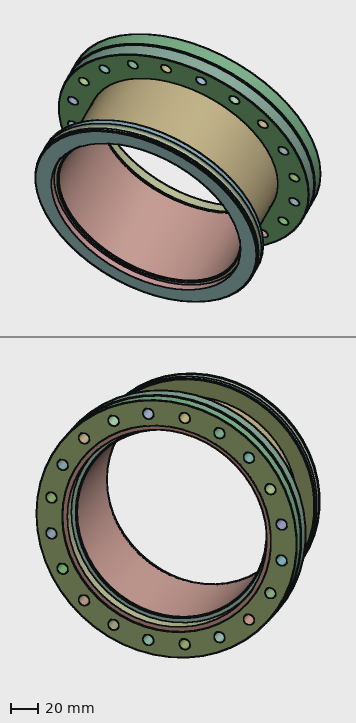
import cadquery as cq
total_length = 90.0

tube_outer_diameter = 152.5
tube_inner_diameter = 146.8

lip_diameter = 148.5
lip_length = 1.6

bolt_flange_diameter = 202.5
bolt_flange_thickness = 21.9
bolt_flange_bore = 155.0
tube_end_depth = 12.5
bolt_flange_chamfer = 0.5
rim_groove_width = 1.0
rim_groove_depth = 0.6
bolt_count = 20
bolt_hole_diameter = 8.3
bolt_circle_diameter = 181.0
seal_recess_diameter = 162.2
seal_recess_depth = 1.5

clamp_flange_diameter = 180.0
clamp_flange_thickness = 12.0
clamp_flange_chamfer = 0.8
recess_diameter = 153.0
recess_depth = 5.0
clamp_groove_start = 2.6
clamp_groove_width = 4.9
clamp_groove_floor_diameter = 175.0

bolt_flange_front = total_length - bolt_flange_thickness
bolt_flange_middle = total_length - bolt_flange_thickness / 2
tube_front = recess_depth + lip_length
tube_back = total_length - tube_end_depth


def cylinder(diameter, y_start, y_end):
    """Solid cylinder on the Y axis between two positions."""
    return (
        cq.Workplane("XZ", origin=(0, y_start, 0))
        .circle(diameter / 2)
        .extrude(y_start - y_end)
    )


def make_tube():
    outside = cylinder(tube_outer_diameter, tube_front, tube_back)
    return outside.cut(cylinder(tube_inner_diameter, tube_front, tube_back))


def make_rim_groove():
    """Ring that cuts the square groove around the bolted flange rim."""
    groove_start = bolt_flange_middle - rim_groove_width / 2
    groove_end = groove_start + rim_groove_width
    floor_diameter = bolt_flange_diameter - 2 * rim_groove_depth
    ring = cylinder(bolt_flange_diameter, groove_start, groove_end)
    return ring.cut(cylinder(floor_diameter, groove_start, groove_end))


def make_bolt_holes():
    half_pitch = 360 / bolt_count / 2
    return (
        cq.Workplane("XZ", origin=(0, bolt_flange_front, 0))
        .polarArray(bolt_circle_diameter / 2, half_pitch, 360, bolt_count)
        .circle(bolt_hole_diameter / 2)
        .extrude(-bolt_flange_thickness)
    )


def make_bolt_flange():
    disc = cylinder(bolt_flange_diameter, bolt_flange_front, total_length)
    disc = disc.edges().chamfer(bolt_flange_chamfer)
    bore = cylinder(bolt_flange_bore, tube_back + lip_length, total_length)
    lip_bore = cylinder(lip_diameter, bolt_flange_front, total_length)
    tube_socket = cylinder(tube_outer_diameter, bolt_flange_front, tube_back)
    seal_recess = cylinder(seal_recess_diameter, total_length - seal_recess_depth, total_length)
    disc = disc.cut(bore).cut(lip_bore).cut(tube_socket).cut(seal_recess)
    return disc.cut(make_rim_groove()).cut(make_bolt_holes())


def make_clamp_groove():
    """Ring that cuts the clamp groove: straight walls and a half-round floor."""
    rim_radius = clamp_flange_diameter / 2
    floor_radius = clamp_groove_floor_diameter / 2
    edge_radius = floor_radius + clamp_groove_width / 2
    groove_end = clamp_groove_start + clamp_groove_width
    groove_middle = clamp_groove_start + clamp_groove_width / 2
    return (
        cq.Workplane("XY")
        .moveTo(rim_radius, clamp_groove_start)
        .lineTo(edge_radius, clamp_groove_start)
        .threePointArc((floor_radius, groove_middle), (edge_radius, groove_end))
        .lineTo(rim_radius, groove_end)
        .close()
        .revolve(360, (0, 0, 0), (0, 1, 0))
    )


def make_clamp_flange():
    disc = cylinder(clamp_flange_diameter, 0, clamp_flange_thickness)
    disc = disc.edges().chamfer(clamp_flange_chamfer)
    recess = cylinder(recess_diameter, 0, recess_depth)
    lip_bore = cylinder(lip_diameter, 0, clamp_flange_thickness)
    tube_socket = cylinder(tube_outer_diameter, tube_front, clamp_flange_thickness)
    return disc.cut(recess).cut(lip_bore).cut(tube_socket).cut(make_clamp_groove())


tube = make_tube()
bolt_flange = make_bolt_flange()
clamp_flange = make_clamp_flange()

result = cq.Compound.makeCompound([tube.val(), bolt_flange.val(), clamp_flange.val()])